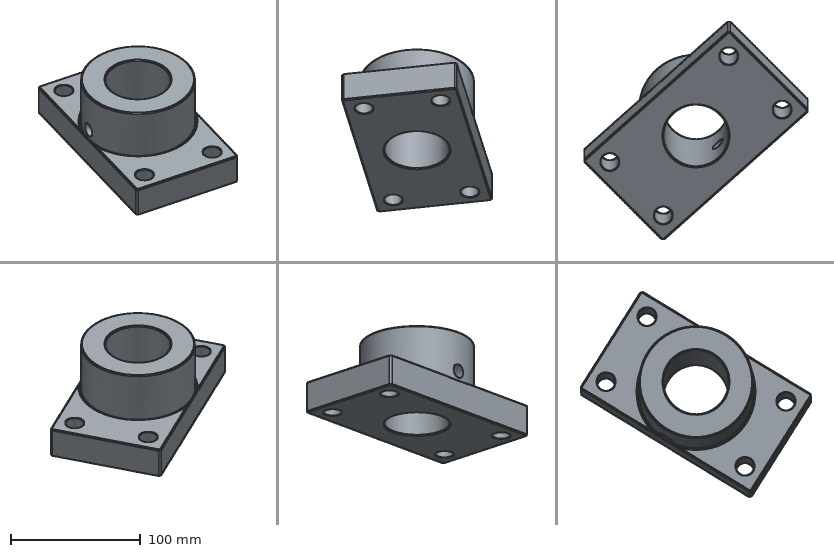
import cadquery as cq

plate_length = 155.0
plate_width = 90.0
plate_thickness = 25.0
corner_chamfer = 1.5
edge_chamfer = 1.0

total_height = 65.0
boss_diameter = 88.0
bore_diameter = 50.0
boss_chamfer = 1.0
bore_chamfer = 1.0

groove_diameter = 92.0
groove_depth = 0.8

hole_diameter = 14.0
hole_spacing_x = 126.0
hole_spacing_y = 60.0
hole_chamfer = 0.5

radial_hole_diameter = 10.8
radial_hole_height = 32.5


def chamfered_bore(diameter, height, chamfer):
    """Cutter for a through hole with a chamfer at both mouths."""
    radius = diameter / 2
    mouth = radius + chamfer
    profile = [
        (0, 0),
        (mouth, 0),
        (radius, chamfer),
        (radius, height - chamfer),
        (mouth, height),
        (0, height),
    ]
    return cq.Workplane("XZ").polyline(profile).close().revolve(360, (0, 0, 0), (0, 1, 0))


plate = (
    cq.Workplane("XY")
    .box(plate_length, plate_width, plate_thickness, centered=(True, True, False))
    .edges("|Z")
    .chamfer(corner_chamfer)
    .faces("<Z or >Z")
    .edges()
    .chamfer(edge_chamfer)
)

boss_radius = boss_diameter / 2
groove_radius = groove_diameter / 2
groove_floor_radius = (boss_radius + groove_radius) / 2
groove_floor_height = plate_thickness - groove_depth
groove_profile = [
    (boss_radius, plate_thickness),
    (boss_radius, groove_floor_height),
    (groove_floor_radius, groove_floor_height),
    (groove_radius, plate_thickness),
]
groove = (
    cq.Workplane("XZ")
    .polyline(groove_profile)
    .close()
    .revolve(360, (0, 0, 0), (0, 1, 0))
)

boss = (
    cq.Workplane("XY")
    .circle(boss_radius)
    .extrude(total_height)
    .faces(">Z")
    .edges()
    .chamfer(boss_chamfer)
)

result = plate.cut(groove).union(boss)
result = result.cut(chamfered_bore(bore_diameter, total_height, bore_chamfer))

mounting_hole = chamfered_bore(hole_diameter, plate_thickness, hole_chamfer)
for side_x in (-1, 1):
    for side_y in (-1, 1):
        position = (side_x * hole_spacing_x / 2, side_y * hole_spacing_y / 2, 0)
        result = result.cut(mounting_hole.translate(position))

radial_hole = (
    cq.Workplane("XZ")
    .center(0, radial_hole_height)
    .circle(radial_hole_diameter / 2)
    .extrude(boss_radius)
)
result = result.cut(radial_hole)